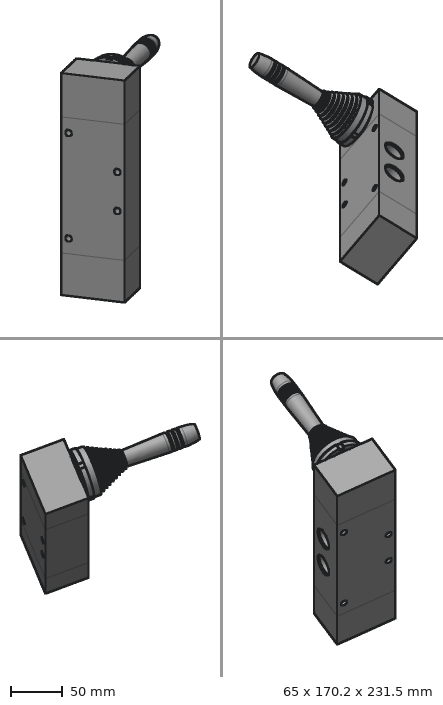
import cadquery as cq

WIDTH = 65.0
DEPTH = 45.0
LOWER_CAP_HEIGHT = 43.3
BODY_HEIGHT = 139.5
UPPER_CAP_HEIGHT = 45.0
HOUSING_HEIGHT = LOWER_CAP_HEIGHT + BODY_HEIGHT + UPPER_CAP_HEIGHT
BODY_MID_Z = LOWER_CAP_HEIGHT + BODY_HEIGHT / 2

PORT_PITCH = 40.0
PORT_DIAMETER = 19.2
PORT_CHAMFER = 1.5
PORT_DEPTH = WIDTH / 2
PORT_Y = 26.8

MOUNT_DIAMETER = 6.5
MOUNT_OFFSET_X = 25.0
WIDE_MOUNT_PITCH = 108.0
NARROW_MOUNT_PITCH = PORT_PITCH

LEVER_DROP = 22.2
LEVER_Z = HOUSING_HEIGHT - LEVER_DROP
LEVER_LENGTH = 125.2

NECK_RADIUS = 40.0 / 2
NUT_RADIUS = 52.0 / 2
NUT_START = 2.5
NUT_END = 8.5
NUT_SLOTS = 4
NUT_SLOT_WIDTH = 5.3
NUT_SLOT_FLOOR_RADIUS = 48.0 / 2

COLLAR_RADIUS = 50.0 / 2
COLLAR_END = 16.2
BELLOWS_BASE_RADIUS = 48.0 / 2

RIB_COUNT = 7
RIB_PITCH = 4.0
RIB_RADIUS_STEP = 1.87
FIRST_RIB_POSITION = 19.7
FIRST_RIB_RADIUS = 22.7
RIB_CREST_WIDTH = 1.0
RIB_GROOVE_WIDTH = 1.27
RIB_HEIGHT = 1.5
BELLOWS_CUFF_START = 45.5
BELLOWS_END = 48.1
BELLOWS_CUFF_RADIUS = 20.0 / 2

HANDLE_START = 49.7
HANDLE_NECK_RADIUS = 16.0 / 2
HANDLE_BASE_RADIUS = 16.7 / 2
GRIP_START = 92.5
GRIP_LENGTH = 19.2
GRIP_RADIUS = 20.0 / 2
TIP_RADIUS = HANDLE_NECK_RADIUS
TIP_BULGE = 0.5
GRIP_GROOVES = 3
GRIP_GROOVE_PITCH = 5.0
GRIP_GROOVE_RADIUS = 1.0


def make_housing():
    housing = cq.Workplane("XY")
    base_z = 0
    for height in (LOWER_CAP_HEIGHT, BODY_HEIGHT, UPPER_CAP_HEIGHT):
        section = cq.Workplane("XY").box(WIDTH, DEPTH, height, centered=(True, False, False))
        housing = housing.union(section.translate((0, 0, base_z)), clean=False)
        base_z += height
    for side in (-1, 1):
        housing = housing.cut(make_port(BODY_MID_Z + side * PORT_PITCH / 2), clean=False)
        housing = housing.cut(make_mount_hole(-MOUNT_OFFSET_X, side * WIDE_MOUNT_PITCH / 2), clean=False)
        housing = housing.cut(make_mount_hole(MOUNT_OFFSET_X, side * NARROW_MOUNT_PITCH / 2), clean=False)
    return housing


def make_port(z):
    """Blind hole along +X with a 45 degree chamfer at its mouth."""
    bore_radius = PORT_DIAMETER / 2
    mouth_radius = bore_radius + PORT_CHAMFER
    return (
        cq.Workplane("XY")
        .polyline([
            (0, 0),
            (0, mouth_radius),
            (PORT_CHAMFER, bore_radius),
            (PORT_DEPTH, bore_radius),
            (PORT_DEPTH, 0),
        ])
        .close()
        .revolve(360, (0, 0), (1, 0))
        .translate((-WIDTH / 2, PORT_Y, z))
    )


def make_mount_hole(x, offset_z):
    drill = cq.Workplane("XZ").circle(MOUNT_DIAMETER / 2).extrude(-DEPTH)
    return drill.translate((x, 0, BODY_MID_Z + offset_z))


def bellows_points():
    """Outline (radius, position) of the ribs, each a groove, a step up to a flat crest, then a cone."""
    points = []
    for rib in range(RIB_COUNT):
        crest_radius = FIRST_RIB_RADIUS - rib * RIB_RADIUS_STEP
        root_radius = crest_radius - RIB_HEIGHT
        crest_start = FIRST_RIB_POSITION + rib * RIB_PITCH - RIB_CREST_WIDTH / 2
        crest_end = crest_start + RIB_CREST_WIDTH
        groove_start = crest_start - RIB_GROOVE_WIDTH
        points += [
            (root_radius, groove_start),
            (root_radius, crest_start),
            (crest_radius, crest_start),
            (crest_radius, crest_end),
        ]
    return points


def make_lever():
    grip_end = GRIP_START + GRIP_LENGTH
    collar_outline = [
        (0, 0),
        (NECK_RADIUS, 0),
        (NECK_RADIUS, NUT_START),
        (NUT_RADIUS, NUT_START),
        (NUT_RADIUS, NUT_END),
        (COLLAR_RADIUS, NUT_END),
        (COLLAR_RADIUS, COLLAR_END),
        (BELLOWS_BASE_RADIUS, COLLAR_END),
    ]
    cuff_outline = [
        (BELLOWS_CUFF_RADIUS, BELLOWS_CUFF_START),
        (BELLOWS_CUFF_RADIUS, BELLOWS_END),
    ]
    handle_outline = [
        (HANDLE_NECK_RADIUS, BELLOWS_END),
        (HANDLE_NECK_RADIUS, HANDLE_START),
        (HANDLE_BASE_RADIUS, HANDLE_START),
        (GRIP_RADIUS, GRIP_START),
        (GRIP_RADIUS, grip_end),
    ]
    tip = (TIP_RADIUS, LEVER_LENGTH)
    tip_mid = ((GRIP_RADIUS + TIP_RADIUS) / 2 + TIP_BULGE, (grip_end + LEVER_LENGTH) / 2)
    lever = (
        cq.Workplane("XY")
        .polyline(collar_outline + bellows_points() + cuff_outline + handle_outline)
        .threePointArc(tip_mid, tip)
        .lineTo(0, LEVER_LENGTH)
        .close()
        .revolve(360, (0, 0), (0, 1))
    )
    for slot in range(NUT_SLOTS):
        lever = lever.cut(make_nut_slot(slot * 360 / NUT_SLOTS))
    for groove in range(GRIP_GROOVES):
        offset = (groove - (GRIP_GROOVES - 1) / 2) * GRIP_GROOVE_PITCH
        lever = lever.cut(make_grip_groove(GRIP_START + GRIP_LENGTH / 2 + offset))
    return lever.translate((0, DEPTH, LEVER_Z))


def make_nut_slot(angle):
    slot = cq.Workplane("XY").box(
        NUT_RADIUS, NUT_END - NUT_START, NUT_SLOT_WIDTH, centered=(False, False, True)
    )
    return slot.translate((NUT_SLOT_FLOOR_RADIUS, NUT_START, 0)).rotate((0, 0, 0), (0, 1, 0), angle)


def make_grip_groove(position):
    return (
        cq.Workplane("XY")
        .center(GRIP_RADIUS, position)
        .circle(GRIP_GROOVE_RADIUS)
        .revolve(360, (-GRIP_RADIUS, 0), (-GRIP_RADIUS, 1))
    )


housing = make_housing()
lever = make_lever()

result = cq.Compound.makeCompound([housing.val(), lever.val()])